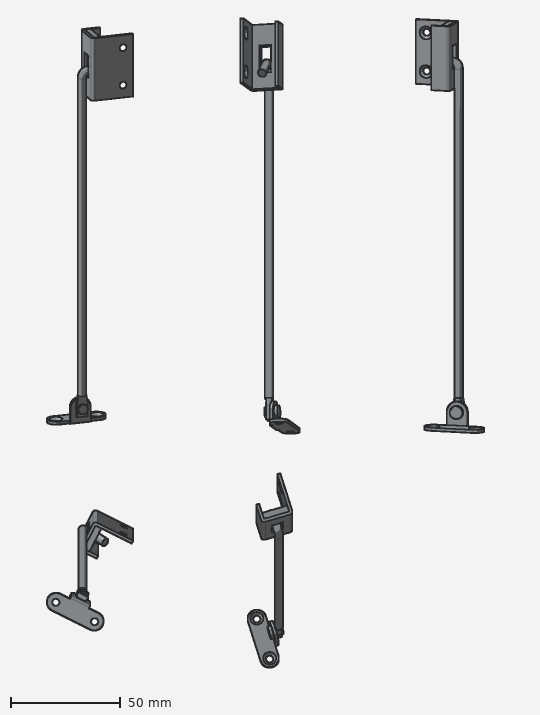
import cadquery as cq
import math

sheet = 1.5
screw_hole_diameter = 3.2
screw_sink_diameter = 6.0
screw_sink_angle = 90

foot_width = 8.6
foot_length = 28.0
foot_hole_spacing = 19.8
foot_bend_radius = 1.0
lug_radius = 4.9
lug_inner_x = foot_width
lug_outer_x = lug_inner_x + sheet
pivot_y = foot_length / 2
pivot_z = 7.7

rivet_head_diameter = 6.0
rivet_head_height = 1.5
rivet_shank_diameter = 4.7
rivet_tail = 1.0

eye_thickness = 2.5
eye_diameter = 5.2
eye_top_diameter = 4.1
eye_bottom = 4.0
eye_shoulder_z = 10.7
eye_outer_x = lug_outer_x + eye_thickness

bracket_width = 15.0
bracket_height = 30.0
bracket_top = 187.0
bracket_right = 19.3
bracket_rear = 36.0
long_flange = 20.0
short_flange = 9.0
bracket_bend_radius = 1.5
bracket_left = bracket_right - bracket_width
bracket_front = bracket_rear - long_flange
bracket_bottom = bracket_top - bracket_height
bracket_mid_x = bracket_left + bracket_width / 2
bracket_mid_z = bracket_top - bracket_height / 2
bracket_hole_spacing = 18.0
bracket_hole_from_rear = 4.9
slot_width = 5.6
slot_height = 10.5
slot_top = bracket_mid_z + slot_height / 2

plate_thickness = 3.0
plate_window_height = 12.7

rod_diameter = 4.0
rod_bottom = 14.0
rod_bend_z = 166.4
hook_bend_radius = 3.0
hook_drop_angle = 40
hook_tail = 8.6


def box_between(x0, x1, y0, y1, z0, z1):
    """Box from opposite corner coordinates."""
    return cq.Workplane("XY").box(x1 - x0, y1 - y0, z1 - z0, centered=False).translate((x0, y0, z0))


def cylinder_along_x(diameter, x0, x1):
    """Cylinder on the pivot axis."""
    return cq.Workplane("YZ", origin=(x0, pivot_y, pivot_z)).circle(diameter / 2).extrude(x1 - x0)


def make_foot():
    mid_x = foot_width / 2
    plate = (
        cq.Workplane("XY", origin=(mid_x, pivot_y, 0))
        .slot2D(foot_length, foot_width, 90)
        .extrude(sheet)
        .faces(">Z").workplane(origin=(mid_x, pivot_y, sheet))
        .pushPoints([(0, -foot_hole_spacing / 2), (0, foot_hole_spacing / 2)])
        .cskHole(screw_hole_diameter, screw_sink_diameter, screw_sink_angle)
    )
    bend = box_between(
        mid_x, lug_outer_x, pivot_y - lug_radius, pivot_y + lug_radius, 0, sheet
    ).edges("|Y and >X and <Z").fillet(foot_bend_radius)
    lug = box_between(
        lug_inner_x, lug_outer_x, pivot_y - lug_radius, pivot_y + lug_radius, sheet, pivot_z
    ).union(cylinder_along_x(2 * lug_radius, lug_inner_x, lug_outer_x))
    return plate.union(bend).union(lug).cut(
        cylinder_along_x(rivet_shank_diameter, lug_inner_x, lug_outer_x)
    )


def make_rivet():
    head = cylinder_along_x(rivet_head_diameter, lug_inner_x - rivet_head_height, lug_inner_x)
    shank = cylinder_along_x(rivet_shank_diameter, lug_inner_x, eye_outer_x + rivet_tail)
    return head.union(shank)


def make_eye():
    """Round end with a conical shoulder, cut down to two flats and cross-drilled for the rivet."""
    half_profile = (
        cq.Workplane("XZ", origin=(bracket_mid_x, pivot_y, 0))
        .moveTo(0, eye_bottom)
        .lineTo(eye_diameter / 2, eye_bottom)
        .lineTo(eye_diameter / 2, eye_shoulder_z)
        .lineTo(eye_top_diameter / 2, rod_bottom)
        .lineTo(0, rod_bottom)
        .close()
    )
    turned = half_profile.revolve(360, (0, 0, 0), (0, 1, 0))
    between_flats = box_between(
        lug_outer_x, eye_outer_x, pivot_y - eye_diameter, pivot_y + eye_diameter, eye_bottom, rod_bottom
    )
    return turned.intersect(between_flats).cut(
        cylinder_along_x(rivet_shank_diameter, lug_outer_x, eye_outer_x)
    )


def make_bracket():
    outer = box_between(
        bracket_left, bracket_right, bracket_front, bracket_rear, bracket_bottom, bracket_top
    ).edges("|Z and <Y").fillet(bracket_bend_radius)
    channel = box_between(
        bracket_left + sheet, bracket_right - sheet, bracket_front + sheet, bracket_rear,
        bracket_bottom, bracket_top,
    )
    short_side = box_between(
        bracket_left, bracket_left + sheet, bracket_front + short_flange, bracket_rear,
        bracket_bottom, bracket_top,
    )
    slot = box_between(
        bracket_mid_x - slot_width / 2, bracket_mid_x + slot_width / 2,
        bracket_front, bracket_front + sheet, slot_top - slot_height, slot_top,
    )
    hole_y = bracket_rear - bracket_hole_from_rear
    sink_depth = (screw_sink_diameter - screw_hole_diameter) / 2
    body = outer.cut(channel).cut(short_side).cut(slot)
    for side in (-1, 1):
        start = cq.Vector(bracket_right - sheet, hole_y, bracket_mid_z + side * bracket_hole_spacing / 2)
        along_x = cq.Vector(1, 0, 0)
        body = body.cut(cq.Solid.makeCylinder(screw_hole_diameter / 2, sheet, start, along_x))
        body = body.cut(cq.Solid.makeCone(
            screw_sink_diameter / 2, screw_hole_diameter / 2, sink_depth, start, along_x
        ))
    return body


def make_plate():
    front = bracket_front + sheet
    rear = front + plate_thickness
    plate = box_between(
        bracket_left + sheet, bracket_right - sheet, front, rear, bracket_bottom, bracket_top
    )
    window = box_between(
        bracket_mid_x - slot_width / 2, bracket_mid_x + slot_width / 2,
        front, rear, slot_top - plate_window_height, slot_top,
    )
    return plate.cut(window)


def make_rod():
    drop = math.radians(hook_drop_angle)
    bend_y = pivot_y + hook_bend_radius

    def on_bend(angle):
        """Point on the centre line of the bend; the angle runs from +Z toward +Y."""
        return (
            bend_y + hook_bend_radius * math.sin(angle),
            rod_bend_z + hook_bend_radius * math.cos(angle),
        )

    tail_start = on_bend(drop)
    tail_end = (
        tail_start[0] + hook_tail * math.cos(drop),
        tail_start[1] - hook_tail * math.sin(drop),
    )
    path = (
        cq.Workplane("YZ", origin=(bracket_mid_x, 0, 0))
        .moveTo(pivot_y, rod_bottom)
        .lineTo(pivot_y, rod_bend_z)
        .threePointArc(on_bend(-math.pi / 4), tail_start)
        .lineTo(*tail_end)
    )
    return (
        cq.Workplane("XY", origin=(bracket_mid_x, pivot_y, rod_bottom))
        .circle(rod_diameter / 2)
        .sweep(path)
    )


foot = make_foot()
rivet = make_rivet()
eye = make_eye()
bracket = make_bracket()
plate = make_plate()
rod = make_rod()

bodies = (foot, rivet, eye, bracket, plate, rod)
result = cq.Compound.makeCompound([body.solids().val() for body in bodies])